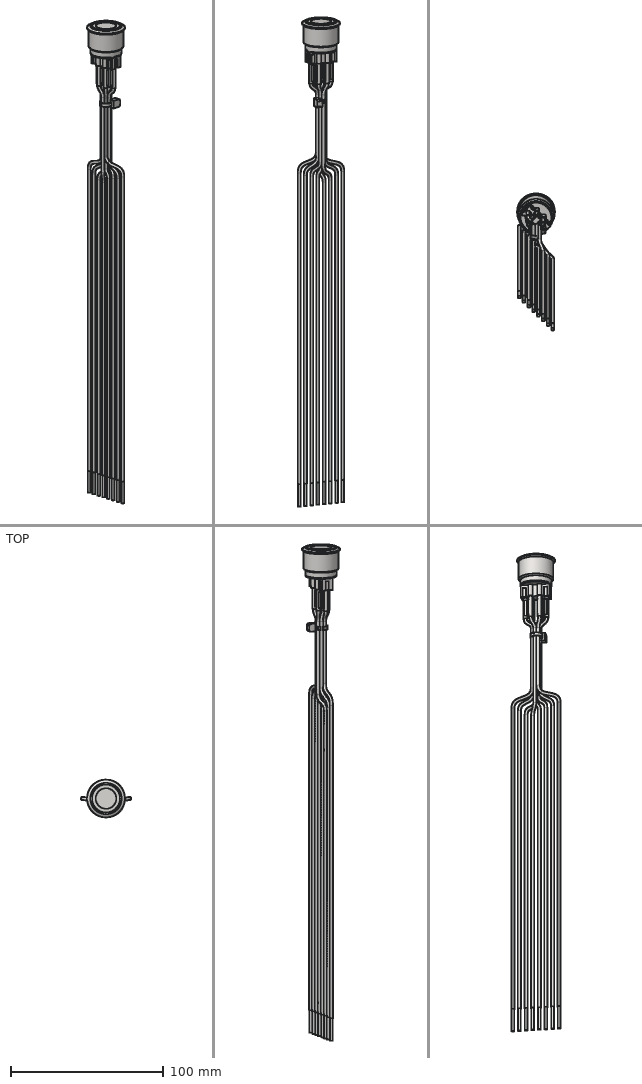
import cadquery as cq
import math


RIM_DIAMETER = 25.0
RIM_TOP_DIAMETER = 20.6
RIM_EDGE_TOP_Z = -1.2
RIM_EDGE_BOTTOM_Z = -1.7
RIM_BOTTOM_Z = -2.6
BODY_DIAMETER = 23.0
BODY_BOTTOM_Z = -14.3
SKIRT_TOP_Z = -15.3
SKIRT_DIAMETER = 20.7
SKIRT_BOTTOM_Z = -19.5
SKIRT_CHAMFER_WIDTH = 0.3
SKIRT_CHAMFER_HEIGHT = 0.9
CAP_DIAMETER = 13.5
CAP_RECESS = 0.3
GROOVE_OUTER_DIAMETER = RIM_TOP_DIAMETER
GROOVE_INNER_DIAMETER = 18.4
GROOVE_DEPTH = 0.4

BLOCK_LENGTH = 19.2
BLOCK_WIDTH = 8.0
BLOCK_BOTTOM_Z = -27.4
WINDOW_TOP_Z = -21.3
WINDOW_WIDTH = 2.2
WINDOW_DEPTH = 0.6
TUBE_DIAMETER = 3.0
TUBE_X = 3.0
TUBE_Y = 4.2

SLEEVE_DIAMETER = 2.8
SLEEVE_BOTTOM_Z = -41.5
INNER_SLEEVE_X = TUBE_X
OUTER_SLEEVE_X = 7.1
SLEEVE_ROW_Y = 3.4
CRIMP_WIDTH = 3.0
CRIMP_INNER_REACH = 1.3
CRIMP_OUTER_REACH = 0.5
CRIMP_TOP_Z = -29.0
CRIMP_BOTTOM_Z = -39.8

WIRE_COUNT = 8
WIRE_DIAMETER = 2.2
TIP_DIAMETER = 2.0
TIP_LENGTH = 15.2
TOTAL_LENGTH = 327.5
ROW_LENGTH = 33.0
PAIR_SPACING = 4.3
PAIR_COUNT = WIRE_COUNT // 2
FIRST_WIRE_X = (WIRE_DIAMETER - ROW_LENGTH) / 2
PAIR_PITCH = (ROW_LENGTH - WIRE_DIAMETER - PAIR_SPACING) / (PAIR_COUNT - 1)
BUNDLE_TOP_Z = -49.0
BUNDLE_RADIUS = 2.6
BUNDLE_START_ANGLE = -98.0
RING_STEP_ANGLE = 360 / (WIRE_COUNT - 1)
JOINT_OVERLAP = 0.5

TIE_CENTER = (0.4, -0.5)
TIE_OUTER_RADIUS = 4.1
TIE_INNER_RADIUS = 3.3
TIE_TOP_Z = -52.7
TIE_HEIGHT = 2.3
TIE_HEAD_X = (2.0, 5.7)
TIE_HEAD_Y = (1.5, 7.6)
TIE_HEAD_Z = (-56.6, -51.3)
TIE_HEAD_CHAMFER = 1.0


def cylinder(diameter, top_z, bottom_z, x=0.0, y=0.0):
    """Upright cylinder between two heights."""
    base = cq.Workplane("XY", origin=(x, y, bottom_z))
    return base.circle(diameter / 2).extrude(top_z - bottom_z)


def box_between(x_range, y_range, z_range):
    """Box given by its limits on each axis."""
    size = [high - low for low, high in (x_range, y_range, z_range)]
    corner = (x_range[0], y_range[0], z_range[0])
    return cq.Workplane("XY").box(*size, centered=False).translate(corner)


def button_head():
    """Turned head: sloping rim, body and skirt, with the cap circle and groove on top."""
    head = (
        cq.Workplane("XZ")
        .moveTo(0, 0)
        .lineTo(RIM_TOP_DIAMETER / 2, 0)
        .lineTo(RIM_DIAMETER / 2, RIM_EDGE_TOP_Z)
        .lineTo(RIM_DIAMETER / 2, RIM_EDGE_BOTTOM_Z)
        .lineTo(BODY_DIAMETER / 2, RIM_BOTTOM_Z)
        .lineTo(BODY_DIAMETER / 2, BODY_BOTTOM_Z)
        .lineTo(SKIRT_DIAMETER / 2, SKIRT_TOP_Z)
        .lineTo(SKIRT_DIAMETER / 2, SKIRT_BOTTOM_Z + SKIRT_CHAMFER_HEIGHT)
        .lineTo(SKIRT_DIAMETER / 2 - SKIRT_CHAMFER_WIDTH, SKIRT_BOTTOM_Z)
        .lineTo(0, SKIRT_BOTTOM_Z)
        .close()
        .revolve(360, (0, 0, 0), (0, 1, 0))
    )
    groove = cylinder(GROOVE_OUTER_DIAMETER, 0, -GROOVE_DEPTH)
    groove = groove.cut(cylinder(GROOVE_INNER_DIAMETER, 0, -GROOVE_DEPTH))
    cap_recess = cylinder(CAP_DIAMETER, 0, -CAP_RECESS)
    return head.cut(groove).cut(cap_recess)


def contact_block():
    """Block with four round tubes, and shallow windows in its ends and broad faces."""
    height = SKIRT_BOTTOM_Z - BLOCK_BOTTOM_Z
    block = cq.Workplane("XY").box(BLOCK_LENGTH, BLOCK_WIDTH, height)
    block = block.translate((0, 0, BLOCK_BOTTOM_Z + height / 2))
    window_z = (BLOCK_BOTTOM_Z, WINDOW_TOP_Z)
    half_window = WINDOW_WIDTH / 2
    for side in (-1, 1):
        end_x = side * BLOCK_LENGTH / 2
        end_window = box_between(
            (end_x - WINDOW_DEPTH, end_x + WINDOW_DEPTH), (-half_window, half_window), window_z
        )
        block = block.cut(end_window)
        window_x = side * OUTER_SLEEVE_X
        for face in (-1, 1):
            face_y = face * BLOCK_WIDTH / 2
            face_window = box_between(
                (window_x - half_window, window_x + half_window),
                (face_y - WINDOW_DEPTH, face_y + WINDOW_DEPTH),
                window_z,
            )
            block = block.cut(face_window)
            tube = cylinder(
                TUBE_DIAMETER, SKIRT_BOTTOM_Z, BLOCK_BOTTOM_Z, side * TUBE_X, face * TUBE_Y
            )
            block = block.union(tube)
    return block


def crimp(sleeve_x, sleeve_y):
    """Square-sided barrel round the inward half of a sleeve at the edge of the group."""
    half_width = CRIMP_WIDTH / 2
    is_end_sleeve = abs(sleeve_x) == OUTER_SLEEVE_X
    outward = math.copysign(1, sleeve_x if is_end_sleeve else sleeve_y)
    along = sorted((-outward * CRIMP_INNER_REACH, outward * CRIMP_OUTER_REACH))
    across = (-half_width, half_width)
    x_range, y_range = (along, across) if is_end_sleeve else (across, along)
    barrel = box_between(x_range, y_range, (CRIMP_BOTTOM_Z, CRIMP_TOP_Z))
    return barrel.translate((sleeve_x, sleeve_y, 0))


def bundle_point(ring_position):
    """Place of a wire in the bundle: one in the middle, seven in a ring round it."""
    if ring_position is None:
        return 0.0, 0.0
    angle = math.radians(BUNDLE_START_ANGLE + ring_position * RING_STEP_ANGLE)
    return BUNDLE_RADIUS * math.cos(angle), BUNDLE_RADIUS * math.sin(angle)


def wire_run(index, sleeve_xy, ring_position, leave_z, arrive_z):
    """One wire: sleeve, bend into the bundle, bend out to its place in the row, bare tip."""
    sleeve_x, sleeve_y = sleeve_xy
    bundle_x, bundle_y = bundle_point(ring_position)
    pair, place_in_pair = divmod(index, 2)
    row_x = FIRST_WIRE_X + pair * PAIR_PITCH + place_in_pair * PAIR_SPACING
    tip_top_z = -TOTAL_LENGTH + TIP_LENGTH

    sleeve_end = cq.Vector(sleeve_x, sleeve_y, SLEEVE_BOTTOM_Z)
    bundle_top = cq.Vector(bundle_x, bundle_y, BUNDLE_TOP_Z)
    bundle_end = cq.Vector(bundle_x, bundle_y, leave_z)
    row_top = cq.Vector(row_x, 0, arrive_z)
    row_end = cq.Vector(row_x, 0, tip_top_z)
    down = cq.Vector(0, 0, -1)
    path = cq.Wire.assembleEdges([
        cq.Edge.makeLine(sleeve_end + cq.Vector(0, 0, JOINT_OVERLAP), sleeve_end),
        cq.Edge.makeSpline([sleeve_end, bundle_top], tangents=[down, down]),
        cq.Edge.makeLine(bundle_top, bundle_end),
        cq.Edge.makeSpline([bundle_end, row_top], tangents=[down, down]),
        cq.Edge.makeLine(row_top, row_end),
    ])
    start = cq.Workplane("XY", origin=(sleeve_x, sleeve_y, SLEEVE_BOTTOM_Z + JOINT_OVERLAP))
    wire = start.circle(WIRE_DIAMETER / 2).sweep(cq.Workplane(path))
    sleeve = cylinder(
        SLEEVE_DIAMETER, BLOCK_BOTTOM_Z + JOINT_OVERLAP, SLEEVE_BOTTOM_Z, sleeve_x, sleeve_y
    )
    tip = cylinder(TIP_DIAMETER, tip_top_z, -TOTAL_LENGTH, row_x, 0)
    run = wire.union(sleeve).union(tip)
    is_middle_sleeve = abs(sleeve_x) == INNER_SLEEVE_X and sleeve_y == 0
    if not is_middle_sleeve:
        run = run.union(crimp(sleeve_x, sleeve_y))
    return run


def cable_tie():
    """Flat band round the bundle with a chamfered locking head at its back corner."""
    bottom_z = TIE_TOP_Z - TIE_HEIGHT
    outer = cylinder(2 * TIE_OUTER_RADIUS, TIE_TOP_Z, bottom_z, *TIE_CENTER)
    inner = cylinder(2 * TIE_INNER_RADIUS, TIE_TOP_Z, bottom_z, *TIE_CENTER)
    head = box_between(TIE_HEAD_X, TIE_HEAD_Y, TIE_HEAD_Z)
    head = head.faces(">Y").edges("|X").chamfer(TIE_HEAD_CHAMFER)
    return outer.cut(inner).union(head.cut(inner))


WIRES = [
    ((-OUTER_SLEEVE_X, 0), 6, -90.5, -103.0),
    ((-INNER_SLEEVE_X, 0), 5, -93.5, -105.0),
    ((-INNER_SLEEVE_X, SLEEVE_ROW_Y), 4, -98.0, -108.0),
    ((-INNER_SLEEVE_X, -SLEEVE_ROW_Y), 0, -101.0, -109.0),
    ((INNER_SLEEVE_X, 0), None, -99.0, -105.0),
    ((INNER_SLEEVE_X, SLEEVE_ROW_Y), 3, -95.0, -104.0),
    ((OUTER_SLEEVE_X, 0), 2, -92.0, -103.0),
    ((INNER_SLEEVE_X, -SLEEVE_ROW_Y), 1, -89.0, -101.0),
]

result = button_head().union(contact_block())
for index, wire_data in enumerate(WIRES):
    result = result.union(wire_run(index, *wire_data))
result = result.union(cable_tie())